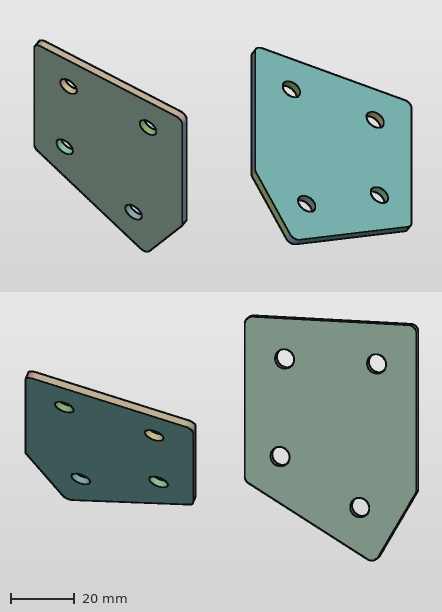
import cadquery as cq
import math

width = 56.0
thickness = 2.5
height = 76.31
corner_radius = 2.5
hole_diameter = 6.2
hole_spacing = 30.0
edge_margin = (width - hole_spacing) / 2
tilt = math.radians(30)
lower_pair_x = 37.5

along = (math.cos(tilt), -math.sin(tilt))
outward = (-math.sin(tilt), -math.cos(tilt))


def offset(point, along_distance, outward_distance):
    """Move a point along and square to the lower long edge."""
    return (
        point[0] + along_distance * along[0] + outward_distance * outward[0],
        point[1] + along_distance * along[1] + outward_distance * outward[1],
    )


def hole_centers():
    """Two level holes near the top and two tilted holes near the tip."""
    tip_reach = edge_margin - corner_radius
    tip_drop = tip_reach * (math.sin(tilt) + math.cos(tilt)) + corner_radius
    lower_right = (lower_pair_x, tip_drop - height)
    return [
        (edge_margin, -edge_margin),
        (width - edge_margin, -edge_margin),
        offset(lower_right, -hole_spacing, 0),
        lower_right,
    ]


def plate(tip):
    """Five-sided plate with a square tip and every corner rounded."""
    left_corner_z = tip[1] + tip[0] * math.tan(tilt)
    right_corner_z = tip[1] + (width - tip[0]) / math.tan(tilt)
    outline = [(0, 0), (width, 0), (width, right_corner_z), tip, (0, left_corner_z)]
    blank = cq.Workplane("XZ").polyline(outline).close().extrude(thickness)
    return blank.edges("|Y").fillet(corner_radius)


centers = hole_centers()
tip_corner = offset(centers[-1], edge_margin, edge_margin)
drills = cq.Workplane("XZ").pushPoints(centers).circle(hole_diameter / 2).extrude(thickness)
result = plate(tip_corner).cut(drills)